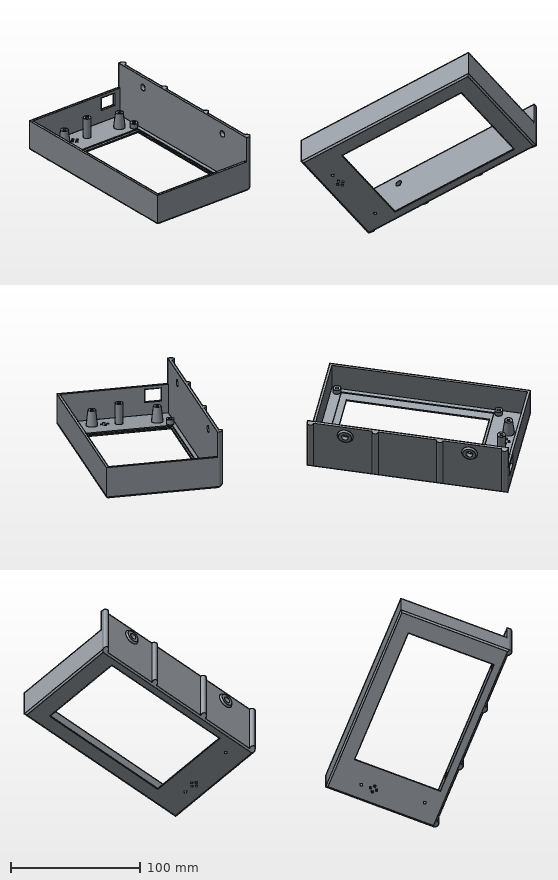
import cadquery as cq

LENGTH = 158.0
DEPTH = 93.0
HEIGHT = 47.0

WALL = 2.0
BACK_WALL = 2.2
CASE_HEIGHT = 25.8
FLOOR_THICKNESS = WALL
BOTTOM_CHAMFER = 1.5

RIB_RADIUS = 2.5
RIB_COUNT = 4
BACK_FACE = DEPTH - RIB_RADIUS
RIB_PITCH = (LENGTH - 2 * RIB_RADIUS) / (RIB_COUNT - 1)

SEAT_LEFT, SEAT_RIGHT = 27.6, 147.9
SEAT_FRONT, SEAT_BACK = 5.4, 85.0
SEAT_DEPTH = 1.0
OPENING_LEFT, OPENING_RIGHT = 29.9, 142.5
OPENING_FRONT, OPENING_BACK = 12.3, 83.6

POST_DIAMETER = 6.0
POST_HOLE_DIAMETER = 2.5
DISPLAY_POST_TOP = 6.0
DISPLAY_POST_X = (23.9, 151.2)
DISPLAY_POST_Y = (5.8, 84.4)
BOARD_POST_CENTER = (13.7, 46.1)
BOARD_POST_TOP = 19.0

GUIDE_CENTERS = ((16.6, 75.8), (12.3, 24.8))
GUIDE_BASE_DIAMETER = 9.0
GUIDE_TOP_DIAMETER = 6.0
GUIDE_HOLE_DIAMETER = 2.2
GUIDE_TOP = 14.7

VENT_CENTER = (12.5, 34.9)
VENT_OFFSET = 2.5
VENT_DIAMETER = 1.7

PORT_FRONT, PORT_BACK = 69.7, 83.0
PORT_BOTTOM, PORT_TOP = 12.3, 23.2

MOUNT_INSET = 30.0
MOUNT_Z = 37.8
MOUNT_HOLE_DIAMETER = 5.2
COLLAR_BASE_DIAMETER = 12.6
COLLAR_TOP_DIAMETER = 10.3
COLLAR_HEIGHT = 1.6


def block(left, right, front, back, bottom, top):
    """Box given by its limits along X, Y and Z."""
    corner = cq.Workplane("XY", origin=(left, front, bottom))
    return corner.box(right - left, back - front, top - bottom, centered=False)


def rod(center, diameter, bottom, top):
    """Upright cylinder between two heights."""
    return cq.Workplane("XY", origin=(*center, bottom)).circle(diameter / 2).extrude(top - bottom)


def cone(origin, direction, base_diameter, top_diameter, height):
    """Truncated cone growing from its origin along a direction."""
    origin = cq.Vector(*origin)
    direction = cq.Vector(*direction)
    return cq.Workplane(cq.Solid.makeCone(base_diameter / 2, top_diameter / 2, height, origin, direction))


def make_shell():
    """Walls, floor and ribs, with the bottom edge bevelled all round."""
    shell = block(0, LENGTH, 0, BACK_FACE, 0, CASE_HEIGHT)
    shell = shell.union(block(0, LENGTH, BACK_FACE - BACK_WALL, BACK_FACE, 0, HEIGHT))
    for index in range(RIB_COUNT):
        left = index * RIB_PITCH
        rib = (
            cq.Workplane("XY")
            .moveTo(left, BACK_FACE)
            .threePointArc((left + RIB_RADIUS, DEPTH), (left + 2 * RIB_RADIUS, BACK_FACE))
            .close()
            .extrude(HEIGHT)
        )
        shell = shell.union(rib)

    slope = BOTTOM_CHAMFER + RIB_RADIUS
    bevel = (
        cq.Workplane("XY")
        .rect(LENGTH - 2 * BOTTOM_CHAMFER, BACK_FACE - 2 * BOTTOM_CHAMFER)
        .workplane(offset=slope)
        .rect(LENGTH + 2 * RIB_RADIUS, BACK_FACE + 2 * RIB_RADIUS)
        .loft(ruled=True)
        .translate((LENGTH / 2, BACK_FACE / 2, 0))
    )
    above_bevel = block(-RIB_RADIUS, LENGTH + RIB_RADIUS, -RIB_RADIUS, DEPTH, slope, HEIGHT)
    shell = shell.intersect(bevel.union(above_bevel))
    return shell.cut(block(WALL, LENGTH - WALL, WALL, BACK_FACE - BACK_WALL, FLOOR_THICKNESS, HEIGHT))


def cut_display_opening(body):
    seat_floor = FLOOR_THICKNESS - SEAT_DEPTH
    body = body.cut(block(SEAT_LEFT, SEAT_RIGHT, SEAT_FRONT, SEAT_BACK, seat_floor, FLOOR_THICKNESS))
    return body.cut(block(OPENING_LEFT, OPENING_RIGHT, OPENING_FRONT, OPENING_BACK, 0, FLOOR_THICKNESS))


def add_screw_post(body, center, top):
    post = rod(center, POST_DIAMETER, FLOOR_THICKNESS, top)
    pilot = rod(center, POST_HOLE_DIAMETER, FLOOR_THICKNESS, top)
    return body.union(post).cut(pilot)


def add_button_guide(body, center):
    base = (*center, FLOOR_THICKNESS)
    height = GUIDE_TOP - FLOOR_THICKNESS
    guide = cone(base, (0, 0, 1), GUIDE_BASE_DIAMETER, GUIDE_TOP_DIAMETER, height)
    return body.union(guide).cut(rod(center, GUIDE_HOLE_DIAMETER, 0, GUIDE_TOP))


def cut_vents(body):
    for step_x, step_y in ((1, 0), (0, 1), (-1, 0), (0, -1)):
        center = (VENT_CENTER[0] + step_x * VENT_OFFSET, VENT_CENTER[1] + step_y * VENT_OFFSET)
        body = body.cut(rod(center, VENT_DIAMETER, 0, FLOOR_THICKNESS))
    return body


def add_mounts(body):
    outward = (0, 1, 0)
    for x in (MOUNT_INSET, LENGTH - MOUNT_INSET):
        collar = cone(
            (x, BACK_FACE, MOUNT_Z), outward, COLLAR_BASE_DIAMETER, COLLAR_TOP_DIAMETER, COLLAR_HEIGHT
        )
        wall_inside = cq.Workplane("XZ", origin=(x, BACK_FACE - BACK_WALL, MOUNT_Z))
        hole = wall_inside.circle(MOUNT_HOLE_DIAMETER / 2).extrude(-(BACK_WALL + COLLAR_HEIGHT))
        body = body.union(collar).cut(hole)
    return body


result = make_shell()
result = cut_display_opening(result)
for post_x in DISPLAY_POST_X:
    for post_y in DISPLAY_POST_Y:
        result = add_screw_post(result, (post_x, post_y), DISPLAY_POST_TOP)
result = add_screw_post(result, BOARD_POST_CENTER, BOARD_POST_TOP)
for guide_center in GUIDE_CENTERS:
    result = add_button_guide(result, guide_center)
result = cut_vents(result)
result = result.cut(block(0, WALL, PORT_FRONT, PORT_BACK, PORT_BOTTOM, PORT_TOP))
result = add_mounts(result)